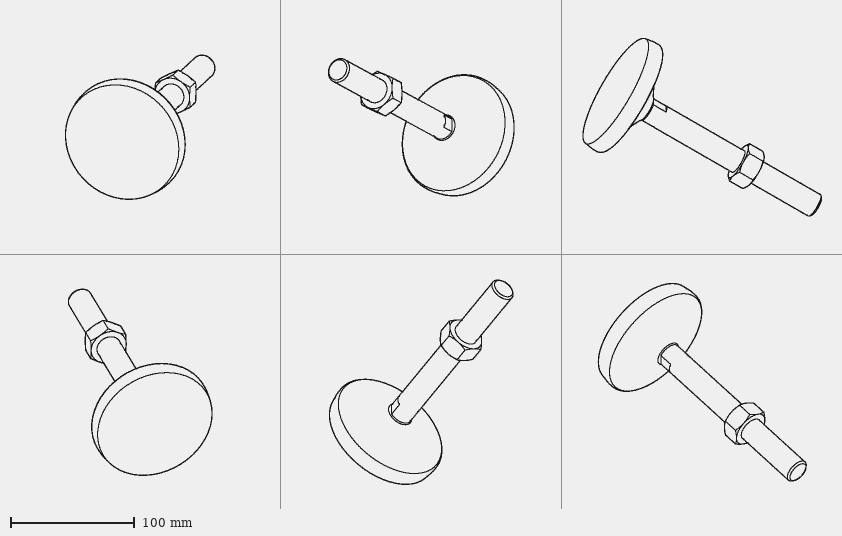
import cadquery as cq
import math

total_length = 193.0

pad_diameter = 100.0
floor_diameter = 97.7
taper_height = 7.5
rim_top = 11.5
shoulder_height = 13.9
shoulder_radius = 48.6
flare_top = 28.2
flare_top_radius = 12.5
flare_sag = 2.0
pad_height = 29.7
pad_top_radius = 10.8

neck_diameter = 10.0
stud_start = 30.9
stud_diameter = 20.0
stud_chamfer = 1.5
wrench_flat_width = 17.0
wrench_flat_end = 43.0

nut_start = 118.1
nut_height = 15.5
nut_across_flats = 30.0
nut_chamfer_angle = 30.0


def cylinder(diameter, start, end):
    """Solid cylinder on the Y axis between two heights."""
    plane = cq.Workplane("XZ", origin=(0, start, 0))
    return plane.circle(diameter / 2).extrude(start - end)


def make_pad():
    """Turned pad with a tapered foot, rounded shoulder and concave flare."""
    pad_radius = pad_diameter / 2
    run = shoulder_radius - flare_top_radius
    rise = flare_top - shoulder_height
    chord = math.hypot(run, rise)
    flare_middle = (
        (shoulder_radius + flare_top_radius) / 2 - flare_sag * rise / chord,
        (shoulder_height + flare_top) / 2 - flare_sag * run / chord,
    )
    profile = (
        cq.Workplane("XY")
        .lineTo(floor_diameter / 2, 0)
        .lineTo(pad_radius, taper_height)
        .lineTo(pad_radius, rim_top)
        .tangentArcPoint((shoulder_radius, shoulder_height), relative=False)
        .threePointArc(flare_middle, (flare_top_radius, flare_top))
        .lineTo(pad_top_radius, pad_height)
        .lineTo(0, pad_height)
        .close()
    )
    return profile.revolve(360, (0, 0, 0), (0, 1, 0))


def make_stud():
    """Stud with a chamfered free end and two wrench flats facing +X and -X."""
    stud = cylinder(stud_diameter, stud_start, total_length)
    stud = stud.faces(">Y").chamfer(stud_chamfer)
    flat_length = wrench_flat_end - stud_start
    flat_depth = (stud_diameter - wrench_flat_width) / 2
    for side in (-1, 1):
        flat_cut = cq.Workplane("XY").box(flat_depth, flat_length, stud_diameter)
        flat_x = side * (wrench_flat_width + flat_depth) / 2
        stud = stud.cut(flat_cut.translate((flat_x, stud_start + flat_length / 2, 0)))
    return stud


def make_nut():
    """Hexagon nut with flats facing +X and -X and conical corners at both ends."""
    corner_radius = nut_across_flats / math.sqrt(3)
    face_radius = nut_across_flats / 2
    corner_drop = (corner_radius - face_radius) * math.tan(math.radians(nut_chamfer_angle))
    nut_end = nut_start + nut_height
    hexagon = (
        cq.Workplane("XZ", origin=(0, nut_start, 0))
        .transformed(rotate=(0, 0, 90))
        .polygon(6, 2 * corner_radius)
        .extrude(-nut_height)
    )
    corner_envelope = (
        cq.Workplane("XY")
        .moveTo(0, nut_start)
        .lineTo(face_radius, nut_start)
        .lineTo(corner_radius, nut_start + corner_drop)
        .lineTo(corner_radius, nut_end - corner_drop)
        .lineTo(face_radius, nut_end)
        .lineTo(0, nut_end)
        .close()
        .revolve(360, (0, 0, 0), (0, 1, 0))
    )
    return hexagon.intersect(corner_envelope)


neck = cylinder(neck_diameter, pad_height, stud_start)
result = make_pad().union(neck).union(make_stud()).union(make_nut())